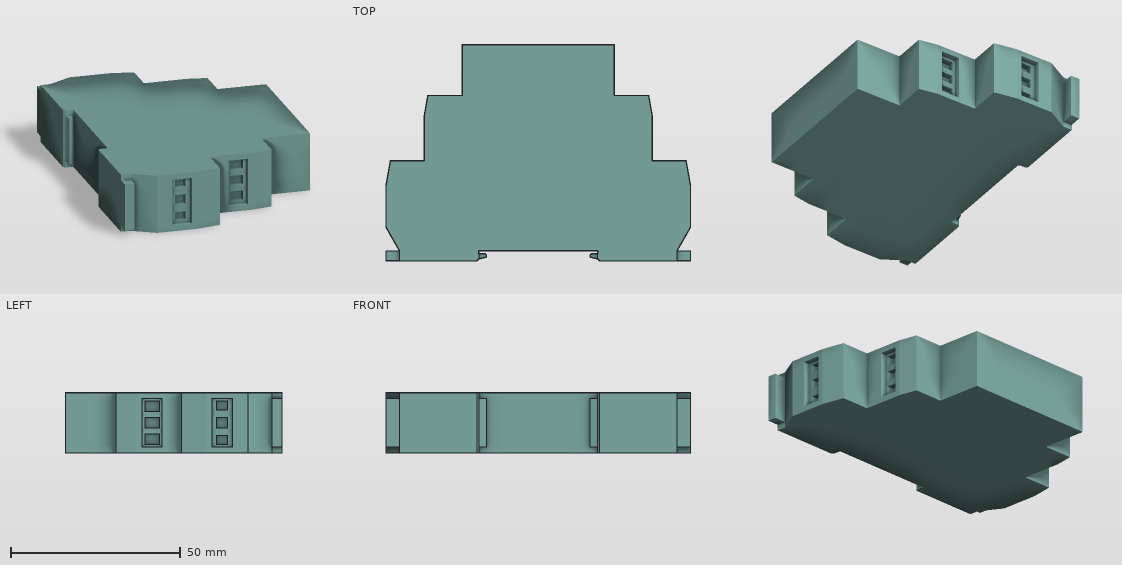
import math

import cadquery as cq

width = 90.0
height = 64.0
thickness = 17.9

half_width = width / 2
display_half_width = 22.5
upper_half_width = 33.7
upper_level = 49.0
lower_level = 29.7
shoulder_slope = math.tan(math.radians(10))
upper_shoulder_drop = 6.0
lower_shoulder_drop = 7.3
upper_shoulder_inset = upper_shoulder_drop * shoulder_slope
lower_shoulder_inset = lower_shoulder_drop * shoulder_slope
base_half_width = 41.0
flank_foot = 10.0

rail_half_width = 17.55
rail_depth = 3.0
lead_in_width = 0.6
lead_in_height = 0.6

tab_length_z = 14.4
tab_setback = 0.05
clip_reach = 2.3
clip_root_low = 0.6
clip_tip_low = 1.2
clip_tip_high = 1.7
clip_top = 2.2
clip_tip_bevel = 0.5

recess_size_y = 6.0
recess_size_z = 14.4
recess_depth = 2.0
upper_recess_y = 38.4
lower_recess_y = 17.7
opening_depth = 2.0
opening_end_gap = 0.8
middle_opening_z = 3.1
upper_opening_y = 4.3
upper_outer_opening_z = 3.1
lower_opening_y = 3.25
lower_outer_opening_z = 2.6

mid_z = thickness / 2


def centred_extrusion(points, length_z):
    """Extrude an XY outline, centred on the middle of the thickness."""
    sketch = cq.Workplane("XY", origin=(0, 0, mid_z)).polyline(points).close()
    return sketch.extrude(length_z / 2, both=True)


def mirrored_pair(left):
    """Join a left-hand feature with its mirror image across the YZ plane."""
    return left.union(left.mirror("YZ"))


def make_housing():
    right_outline = [
        (rail_half_width, rail_depth),
        (rail_half_width, lead_in_height),
        (rail_half_width + lead_in_width, 0),
        (base_half_width, 0),
        (base_half_width, rail_depth),
        (half_width, flank_foot),
        (half_width, lower_level - lower_shoulder_drop),
        (half_width - lower_shoulder_inset, lower_level),
        (upper_half_width, lower_level),
        (upper_half_width, upper_level - upper_shoulder_drop),
        (upper_half_width - upper_shoulder_inset, upper_level),
        (display_half_width, upper_level),
        (display_half_width, height),
    ]
    left_outline = [(-x, y) for x, y in reversed(right_outline)]
    return centred_extrusion(right_outline + left_outline, thickness)


def make_end_tabs():
    outline = [
        (-half_width, tab_setback),
        (-base_half_width, tab_setback),
        (-base_half_width, rail_depth),
        (-half_width, rail_depth),
    ]
    return mirrored_pair(centred_extrusion(outline, tab_length_z))


def make_rail_clips():
    tip_x = -rail_half_width + clip_reach
    outline = [
        (-rail_half_width, clip_root_low),
        (tip_x, clip_tip_low),
        (tip_x, clip_tip_high),
        (tip_x - clip_tip_bevel, clip_top),
        (-rail_half_width, clip_top),
    ]
    return mirrored_pair(centred_extrusion(outline, tab_length_z))


def left_pocket(face_x, depth, centre_y, centre_z, size_y, size_z):
    """Box sunk in the +X direction from a face at face_x."""
    box = cq.Workplane("XY").box(depth, size_y, size_z)
    return box.translate((face_x + depth / 2, centre_y, centre_z))


def make_terminals(face_half_width, centre_y, opening_y, outer_opening_z):
    """Recesses on both sides, each with three openings in its floor."""
    floor_x = -face_half_width + recess_depth
    outer_offset = recess_size_z / 2 - opening_end_gap - outer_opening_z / 2
    openings = [
        (-outer_offset, outer_opening_z),
        (0, middle_opening_z),
        (outer_offset, outer_opening_z),
    ]
    cutter = left_pocket(-face_half_width, recess_depth, centre_y, mid_z, recess_size_y, recess_size_z)
    for offset, opening_z in openings:
        opening = left_pocket(floor_x, opening_depth, centre_y, mid_z + offset, opening_y, opening_z)
        cutter = cutter.union(opening)
    return mirrored_pair(cutter)


upper_terminals = make_terminals(upper_half_width, upper_recess_y, upper_opening_y, upper_outer_opening_z)
lower_terminals = make_terminals(half_width, lower_recess_y, lower_opening_y, lower_outer_opening_z)

result = make_housing().union(make_end_tabs()).union(make_rail_clips())
result = result.cut(upper_terminals).cut(lower_terminals)